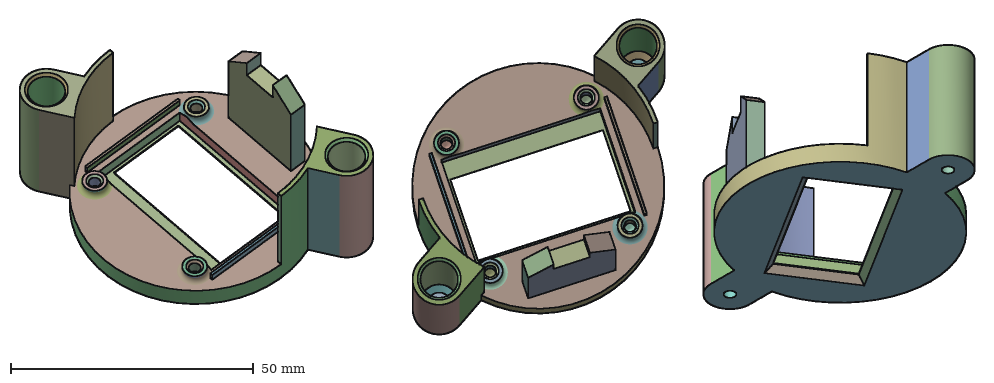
import cadquery as cq
import math

plate_radius = 26.0
plate_height = 4.5

tower_x = 27.2
left_tower_y = 16.7
right_tower_y = 17.2
arm_length = math.hypot(tower_x, left_tower_y)
arm_angle = math.degrees(math.atan2(left_tower_y, tower_x))
tower_radius = 32.7 - tower_x
tower_height = 27.4
bore_diameter = 7.7
bore_chamfer = 0.6
seat_diameter = 4.7
screw_diameter = 2.6
seat_cone_angle = 118
seat_cone_height = (bore_diameter - seat_diameter) / 2 / math.tan(math.radians(seat_cone_angle / 2))
seat_height = plate_height

wall_thickness = 1.0
wall_inner_radius = plate_radius - wall_thickness

tab_half_width = 9.5
tab_front_y = 18.0
tab_thickness = 3.9
tab_shoulder_height = 23.4
tab_top_height = 28.1
notch_half_width = 3.9
notch_floor_height = 24.0

pocket_width = 34.55
pocket_length = 23.0
pocket_floor = 1.75
window_width = 33.1
window_back_y = 10.5
window_front_y = -7.6
window_length = window_back_y - window_front_y
window_center_y = (window_back_y + window_front_y) / 2
window_lip = 0.25
window_bevel = pocket_floor - window_lip

boss_x = 15.2
boss_y = 14.25
boss_radius = 5.2 / 2
boss_height = 1.6
boss_flare = 1.05
pilot_radius = 2.5 / 2
pilot_chamfer = 0.5
pilot_depth = 3.3
pilot_tip_height = 0.7

rail_inner_x = 18.7
rail_thickness = 0.6
rail_front_y = -13.15
left_rail_back_y = 12.9
right_rail_back_y = 13.3
rail_height = boss_height


def disc(radius, height):
    return cq.Workplane("XY").circle(radius).extrude(height)


def box_between(x0, x1, y0, y1, z0, z1):
    box = cq.Workplane("XY").box(x1 - x0, y1 - y0, z1 - z0, centered=False)
    return box.translate((x0, y0, z0))


def revolved(profile):
    """Revolve a closed radius-height profile about the Z axis."""
    return profile.close().revolve(360, (0, 0, 0), (0, 1, 0))


def tower_with_wall(tower_y):
    """Tower and curved wall on the +X side, before boring."""
    arm = box_between(-arm_length, 0, -tower_radius, tower_radius, 0, tower_height)
    tower = arm.union(disc(tower_radius, tower_height))
    tower = tower.rotate((0, 0, 0), (0, 0, 1), arm_angle).translate((tower_x, tower_y, 0))

    wedge = (
        cq.Workplane("XY")
        .lineTo(arm_length, 0)
        .lineTo(tower_x, tower_y)
        .close()
        .extrude(tower_height)
    )
    wall = wedge.intersect(disc(plate_radius, tower_height))
    return tower.union(wall).cut(disc(wall_inner_radius, tower_height))


def tower_bore(tower_y):
    """Screw hole, flat seat, conical transition and chamfered bore."""
    bore_radius = bore_diameter / 2
    profile = (
        cq.Workplane("XZ")
        .lineTo(screw_diameter / 2, 0)
        .lineTo(screw_diameter / 2, seat_height)
        .lineTo(seat_diameter / 2, seat_height)
        .lineTo(bore_radius, seat_height + seat_cone_height)
        .lineTo(bore_radius, tower_height - bore_chamfer)
        .lineTo(bore_radius + bore_chamfer, tower_height)
        .lineTo(0, tower_height)
    )
    return revolved(profile).translate((tower_x, tower_y, 0))


def tab():
    return (
        cq.Workplane("XZ", origin=(0, tab_front_y, 0))
        .moveTo(-tab_half_width, 0)
        .lineTo(tab_half_width, 0)
        .lineTo(tab_half_width, tab_shoulder_height)
        .lineTo(notch_half_width, tab_top_height)
        .lineTo(notch_half_width, notch_floor_height)
        .lineTo(-notch_half_width, notch_floor_height)
        .lineTo(-notch_half_width, tab_top_height)
        .lineTo(-tab_half_width, tab_shoulder_height)
        .close()
        .extrude(-tab_thickness)
    )


def boss():
    """Boss with a concave flare where it meets the plate."""
    flare_radius = boss_radius + boss_flare
    arc_inset = boss_flare * (1 - math.sqrt(0.5))
    profile = (
        cq.Workplane("XZ")
        .lineTo(flare_radius, 0)
        .lineTo(flare_radius, plate_height)
        .threePointArc(
            (boss_radius + arc_inset, plate_height + arc_inset),
            (boss_radius, plate_height + boss_flare),
        )
        .lineTo(boss_radius, plate_height + boss_height)
        .lineTo(0, plate_height + boss_height)
    )
    return revolved(profile)


def pilot_hole():
    """Blind hole with a chamfered mouth and a conical tip."""
    top = plate_height + boss_height
    bottom = top - pilot_depth
    profile = (
        cq.Workplane("XZ")
        .moveTo(0, bottom - pilot_tip_height)
        .lineTo(pilot_radius, bottom)
        .lineTo(pilot_radius, top - pilot_chamfer)
        .lineTo(pilot_radius + pilot_chamfer, top)
        .lineTo(0, top)
    )
    return revolved(profile)


def rail(side, back_y):
    """Rail on the +X (side = 1) or -X (side = -1) side."""
    x_start, x_end = sorted((side * rail_inner_x, side * (rail_inner_x + rail_thickness)))
    return box_between(x_start, x_end, rail_front_y, back_y, 0, plate_height + rail_height)


def display_opening():
    pocket = (
        cq.Workplane("XY", origin=(0, 0, pocket_floor))
        .rect(pocket_width, pocket_length)
        .extrude(plate_height + boss_height - pocket_floor)
    )
    window = (
        cq.Workplane("XY", origin=(0, window_center_y, 0))
        .rect(window_width, window_length)
        .extrude(pocket_floor)
    )
    bevel = (
        cq.Workplane("XY", origin=(0, window_center_y, 0))
        .rect(window_width + 2 * window_bevel, window_length + 2 * window_bevel)
        .workplane(offset=window_bevel)
        .rect(window_width, window_length)
        .loft(ruled=True)
    )
    return pocket.union(window).union(bevel)


boss_places = [(x, y, 0) for x in (-boss_x, boss_x) for y in (-boss_y, boss_y)]

result = disc(plate_radius, plate_height).union(tab())
result = result.union(rail(-1, left_rail_back_y)).union(rail(1, right_rail_back_y))
for place in boss_places:
    result = result.union(boss().translate(place))

result = result.cut(display_opening())
for place in boss_places:
    result = result.cut(pilot_hole().translate(place))

for tower_y, turn in ((right_tower_y, 0), (left_tower_y, 180)):
    result = result.union(tower_with_wall(tower_y).rotate((0, 0, 0), (0, 0, 1), turn))
    result = result.cut(tower_bore(tower_y).rotate((0, 0, 0), (0, 0, 1), turn))